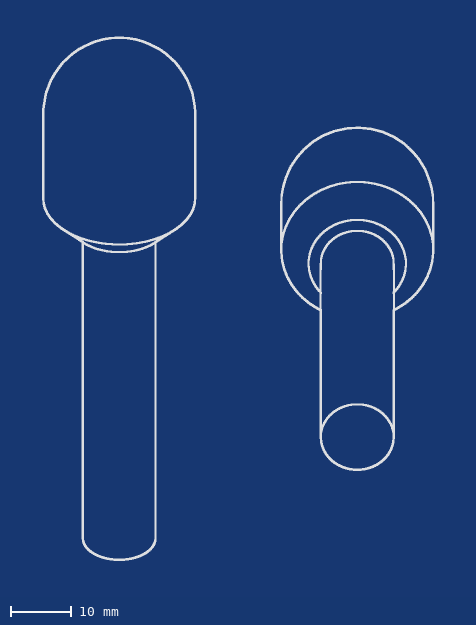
import cadquery as cq

total_height = 100.0
head_radius = 12.5
shank_radius = 6.0
dome_height = 12.0
barrel_height = 18.0
taper_height = 5.0
taper_end_radius = 8.0

barrel_top = total_height - dome_height
barrel_bottom = barrel_top - barrel_height
head_bottom = barrel_bottom - taper_height

dome_radius = (head_radius**2 + dome_height**2) / (2 * dome_height)

profile = (
    cq.Workplane("XZ")
    .lineTo(shank_radius, 0)
    .lineTo(shank_radius, head_bottom)
    .lineTo(taper_end_radius, head_bottom)
    .lineTo(head_radius, barrel_bottom)
    .lineTo(head_radius, barrel_top)
    .radiusArc((0, total_height), -dome_radius)
    .close()
)

result = profile.revolve(360, (0, 0, 0), (0, 1, 0))